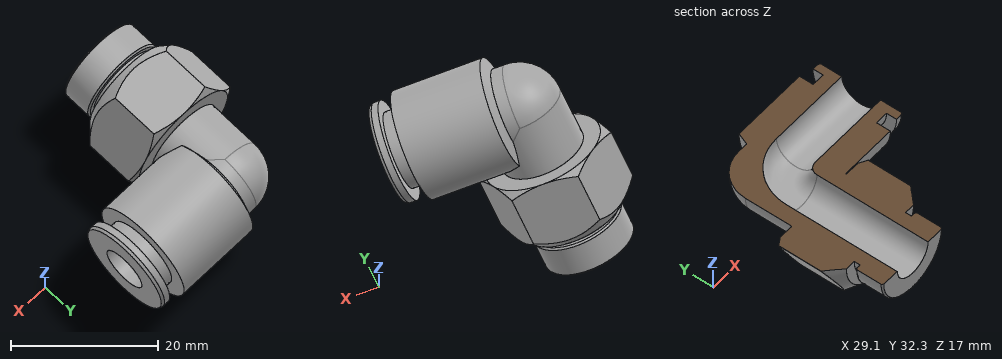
import cadquery as cq
import math


elbow_radius = 6.0
bore_radius = 3.35
bore_bend_radius = 5.0

cone_start = 1.75
body_start = 2.5
body_end = 15.77
collar_start = 17.87
port_end = 19.32
body_radius = 7.93
port_neck_radius = 5.55
collar_radius = 7.3
collar_chamfer = 0.45
collar_chamfer_depth = 0.2

overall_length = 32.25
stud_end = overall_length - body_radius
hex_start = 8.0
hex_end = 18.65
ring_start = 19.58
hex_flats = 17.0
hex_corner_radius = hex_flats / math.sqrt(3)
hex_end_radius = 7.35
back_chamfer_angle = 30
stud_neck_radius = 5.65
ring_radius = 6.58
ring_chamfer = 0.25


def capped_stem():
    """Round stem along the stud axis with a ball end centred at the origin."""
    return (
        cq.Workplane("XY")
        .moveTo(0, -hex_start)
        .lineTo(elbow_radius, -hex_start)
        .lineTo(elbow_radius, 0)
        .radiusArc((0, elbow_radius), -elbow_radius)
        .close()
        .revolve(360, (0, 0), (0, 1))
    )


def curved_bore():
    """Constant round passage from the stud face, through a quarter bend, to the port face."""
    path = (
        cq.Workplane("XY")
        .moveTo(0, -stud_end)
        .lineTo(0, -bore_bend_radius)
        .radiusArc((bore_bend_radius, 0), bore_bend_radius)
        .lineTo(port_end, 0)
    )
    return cq.Workplane("XZ", origin=(0, -stud_end, 0)).circle(bore_radius).sweep(path)


def turned_port():
    """Elbow arm, conical shoulder, body, neck and release collar turned about X."""
    profile = [
        (0, 0),
        (0, elbow_radius),
        (cone_start, elbow_radius),
        (body_start, body_radius),
        (body_end, body_radius),
        (body_end, port_neck_radius),
        (collar_start, port_neck_radius),
        (collar_start, collar_radius),
        (port_end - collar_chamfer, collar_radius),
        (port_end, collar_radius - collar_chamfer_depth),
        (port_end, 0),
    ]
    return cq.Workplane("XY").polyline(profile).close().revolve(360, (0, 0), (1, 0))


def chamfered_hex():
    """Hexagon with corners on +X and -X, trimmed by a cone at each end."""
    blank = (
        cq.Workplane("XZ", origin=(0, -hex_start, 0))
        .polygon(6, 2 * hex_corner_radius)
        .extrude(hex_end - hex_start)
    )
    back_radius = hex_flats / 2
    back_drop = (hex_corner_radius - back_radius) * math.tan(math.radians(back_chamfer_angle))
    front_drop = hex_corner_radius - hex_end_radius
    profile = [
        (0, -hex_start),
        (back_radius, -hex_start),
        (hex_corner_radius, -hex_start - back_drop),
        (hex_corner_radius, -hex_end + front_drop),
        (hex_end_radius, -hex_end),
        (0, -hex_end),
    ]
    envelope = cq.Workplane("XY").polyline(profile).close().revolve(360, (0, 0), (0, 1))
    return blank.intersect(envelope)


def turned_stud():
    """Undercut neck and end ring, with both ring edges chamfered."""
    neck = cq.Workplane("XZ", origin=(0, -hex_end, 0)).circle(stud_neck_radius).extrude(ring_start - hex_end)
    ring = (
        cq.Workplane("XZ", origin=(0, -ring_start, 0))
        .circle(ring_radius)
        .extrude(stud_end - ring_start)
        .edges()
        .chamfer(ring_chamfer)
    )
    return neck.union(ring)


outside = (
    capped_stem()
    .union(turned_port())
    .union(chamfered_hex())
    .union(turned_stud())
)
result = outside.cut(curved_bore())